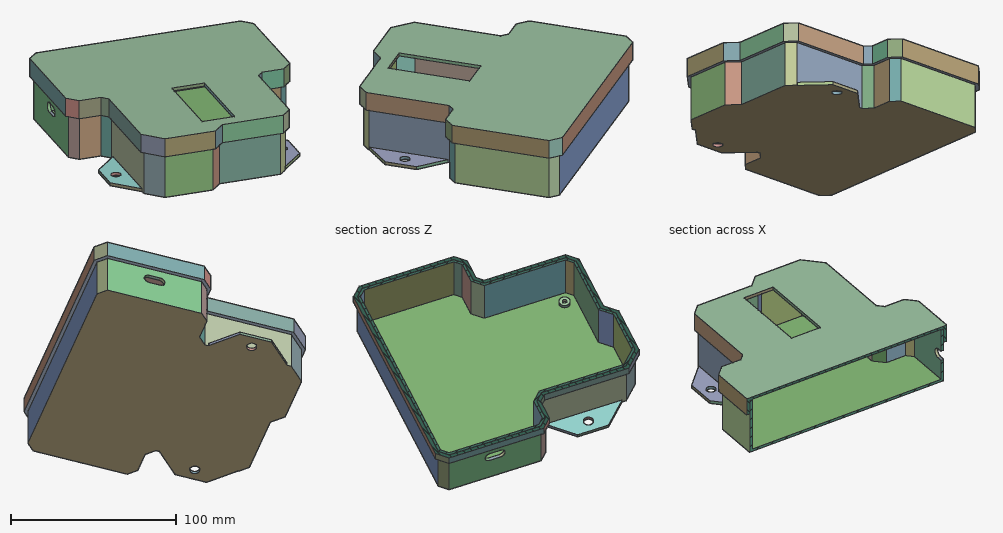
import cadquery as cq

total_height = 40.0
sheet = 2.0
skirt_wall = 2.2
lid_height = 12.0
box_height = total_height - sheet

lid_length = 144.5
box_length = lid_length - 2 * skirt_wall
half_width = box_length / 2
wide_length = 70.1
neck_half_width = 46.1
neck_length = 133.1
corner_cut = 5.0
bulge_cut = 10.0
bulge_y = 1.7

window_length = 52.0
window_width = 21.0
window_x = 100.7
window_y = 3.3

slot_length = 13.0
slot_height = 6.4
slot_x = wide_length / 2
slot_z = 19.1

ear_x = 102.5
ear_reach = 15.0
ear_tip_width = 20.1
ear_hole_diameter = 6.0

standoff_diameter = 6.8
standoff_bore = 2.7
standoff_height = 2.0
standoff_wall_distance = 7.5
standoff_x = neck_length - sheet - standoff_wall_distance
standoff_y = neck_half_width - sheet - standoff_wall_distance


def outline(offset):
    """Plan outline of the box, moved outwards by offset on every side."""
    bulge_step = box_length - neck_length
    points = [
        (0, corner_cut - half_width),
        (corner_cut, -half_width),
        (wide_length - corner_cut, -half_width),
        (wide_length, corner_cut - half_width),
        (wide_length, -neck_half_width - corner_cut),
        (wide_length + corner_cut, -neck_half_width),
        (box_length - bulge_cut, -neck_half_width),
        (box_length, bulge_cut - neck_half_width),
        (box_length, bulge_y - bulge_step),
        (neck_length, bulge_y),
        (neck_length, neck_half_width - corner_cut),
        (neck_length - corner_cut, neck_half_width),
        (wide_length + corner_cut, neck_half_width),
        (wide_length, neck_half_width + corner_cut),
        (wide_length, half_width - corner_cut),
        (wide_length - corner_cut, half_width),
        (corner_cut, half_width),
        (0, half_width - corner_cut),
    ]
    plan = cq.Workplane("XY").polyline(points).close()
    if offset:
        plan = plan.offset2D(offset, "intersection")
    return plan


def make_ear(side):
    """Trapezoidal ear with 45-degree flanks; side is +1 for +Y and -1 for -Y."""
    tip_half = ear_tip_width / 2
    root_half = tip_half + ear_reach
    root_y = side * neck_half_width
    tip_y = side * (neck_half_width + ear_reach)
    ear = (
        cq.Workplane("XY")
        .polyline([
            (ear_x - root_half, root_y),
            (ear_x + root_half, root_y),
            (ear_x + tip_half, tip_y),
            (ear_x - tip_half, tip_y),
        ])
        .close()
        .extrude(sheet)
    )
    hole = (
        cq.Workplane("XY")
        .center(ear_x, (root_y + tip_y) / 2)
        .circle(ear_hole_diameter / 2)
        .extrude(sheet)
    )
    return ear.cut(hole)


def make_box():
    """Open-topped box with a cable slot and two mounting ears."""
    box = outline(0).extrude(box_height)
    cavity = outline(-sheet).extrude(box_height).translate((0, 0, sheet))
    slot = (
        cq.Workplane("XZ", origin=(slot_x, -half_width, slot_z))
        .slot2D(slot_length, slot_height)
        .extrude(-sheet)
    )
    box = box.cut(cavity).cut(slot)
    for side in (-1, 1):
        box = box.union(make_ear(side))
    return box


def make_lid():
    """Cap with a skirt that fits around the box walls and a window in its top."""
    lid = outline(skirt_wall).extrude(lid_height)
    recess = outline(0).extrude(lid_height - sheet)
    window = (
        cq.Workplane("XY")
        .center(window_x, window_y)
        .rect(window_length, window_width)
        .extrude(lid_height)
    )
    return lid.cut(recess).cut(window).translate((0, 0, total_height - lid_height))


def make_standoff():
    """Short tube that stands on the box floor."""
    return (
        cq.Workplane("XY", origin=(standoff_x, standoff_y, sheet))
        .circle(standoff_diameter / 2)
        .circle(standoff_bore / 2)
        .extrude(standoff_height)
    )


box = make_box()
lid = make_lid()
standoff = make_standoff()

result = cq.Compound.makeCompound([box.val(), lid.val(), standoff.val()])